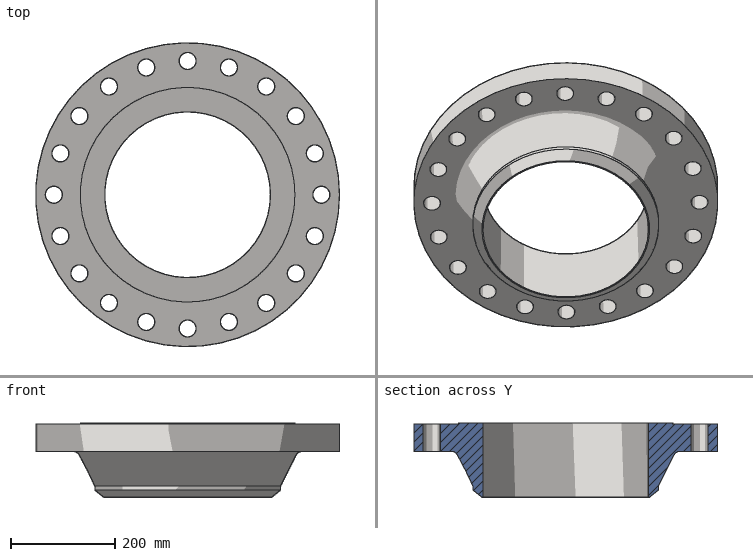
import cadquery as cq
import math

flange_diameter = 584.0
total_height = 143.0
bore_diameter = 318.0

raised_face_diameter = 412.5
raised_face_height = 2.0
flange_thickness = 53.0

bolt_count = 20
bolt_circle_diameter = 514.0
bolt_hole_diameter = 32.0

hub_top_diameter = 424.0
neck_diameter = 357.5
neck_length = 21.5
bevel_height = 14.0
weld_end_diameter = 322.5
root_fillet_radius = 13.0

flange_top = total_height - raised_face_height
flange_bottom = flange_top - flange_thickness


def make_body():
    """Revolve the half section of the flange and its neck about Z."""
    bore_radius = bore_diameter / 2
    neck_radius = neck_diameter / 2
    hub_radius = hub_top_diameter / 2

    cone_slope = math.atan2(flange_bottom - neck_length, hub_radius - neck_radius)
    tangent_length = root_fillet_radius * math.tan(cone_slope / 2)
    fillet_start = (
        hub_radius - tangent_length * math.cos(cone_slope),
        flange_bottom - tangent_length * math.sin(cone_slope),
    )
    fillet_end = (hub_radius + tangent_length, flange_bottom)

    return (
        cq.Workplane("XZ")
        .moveTo(bore_radius, 0)
        .lineTo(weld_end_diameter / 2, 0)
        .lineTo(neck_radius, bevel_height)
        .lineTo(neck_radius, neck_length)
        .lineTo(*fillet_start)
        .tangentArcPoint(fillet_end, relative=False)
        .lineTo(flange_diameter / 2, flange_bottom)
        .lineTo(flange_diameter / 2, flange_top)
        .lineTo(raised_face_diameter / 2, flange_top)
        .lineTo(raised_face_diameter / 2, total_height)
        .lineTo(bore_radius, total_height)
        .close()
        .revolve(360, (0, 0, 0), (0, 1, 0))
    )


def make_bolt_holes():
    """Cutters for the evenly spaced bolt holes, the first one on +X."""
    return (
        cq.Workplane("XY")
        .workplane(offset=flange_bottom)
        .polarArray(bolt_circle_diameter / 2, 0, 360, bolt_count)
        .circle(bolt_hole_diameter / 2)
        .extrude(flange_thickness)
    )


result = make_body().cut(make_bolt_holes())